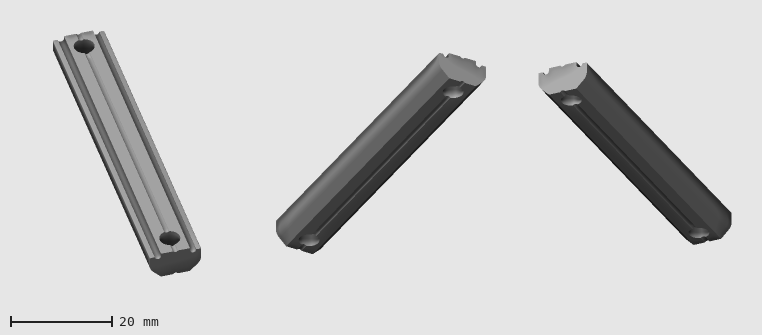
import cadquery as cq
import math

length = 68.0
width = 10.6
height = 6.0

raised_width = 6.0
base_width = 6.0
rim_height = 5.4
groove_radius = 0.645
rim_edge_radius = 0.17
flank_height = 3.3
flank_angle = math.radians(45)

mark_width = 1.0
mark_depth = 0.3

hole_diameter = 4.15
hole_spacing = 60.0


def half_profile():
    """Closed outline of the +Y half of the cross-section, in the YZ plane."""
    half_width = width / 2
    half_base = base_width / 2
    half_raised = raised_width / 2

    corner_height = (half_width - half_base) * math.tan(flank_angle)
    setback = flank_height - corner_height
    turn = math.pi / 2 - flank_angle
    flank_radius = setback / math.tan(turn / 2)

    def flank_point(angle):
        return (
            half_width - flank_radius * (1 - math.cos(angle)),
            flank_height - flank_radius * math.sin(angle),
        )

    groove_center = half_raised + groove_radius
    rim_inner = groove_center + groove_radius
    rim_center = (half_width - rim_edge_radius, rim_height - rim_edge_radius)
    rim_offset = rim_edge_radius * math.sqrt(0.5)

    return (
        cq.Workplane("YZ", origin=(-length / 2, 0, 0))
        .lineTo(half_base, 0)
        .lineTo(*flank_point(turn))
        .threePointArc(flank_point(turn / 2), flank_point(0))
        .lineTo(half_width, rim_center[1])
        .threePointArc(
            (rim_center[0] + rim_offset, rim_center[1] + rim_offset),
            (rim_center[0], rim_height),
        )
        .lineTo(rim_inner, rim_height)
        .threePointArc(
            (groove_center, rim_height - groove_radius),
            (half_raised, rim_height),
        )
        .lineTo(half_raised, height)
        .lineTo(0, height)
        .close()
    )


def mark_cutter(face_height, direction):
    """Round rod that cuts a shallow groove; direction points out of the face."""
    radius = (mark_width**2 / 4 + mark_depth**2) / (2 * mark_depth)
    center_height = face_height + direction * (radius - mark_depth)
    return (
        cq.Workplane("YZ", origin=(-length / 2, 0, center_height))
        .circle(radius)
        .extrude(length)
    )


half_bar = half_profile().extrude(length)
bar = half_bar.union(half_bar.mirror("XZ")).clean()

bar = bar.cut(mark_cutter(height, 1)).cut(mark_cutter(0, -1))

holes = (
    cq.Workplane("XY")
    .pushPoints([(-hole_spacing / 2, 0), (hole_spacing / 2, 0)])
    .circle(hole_diameter / 2)
    .extrude(height)
)
result = bar.cut(holes)